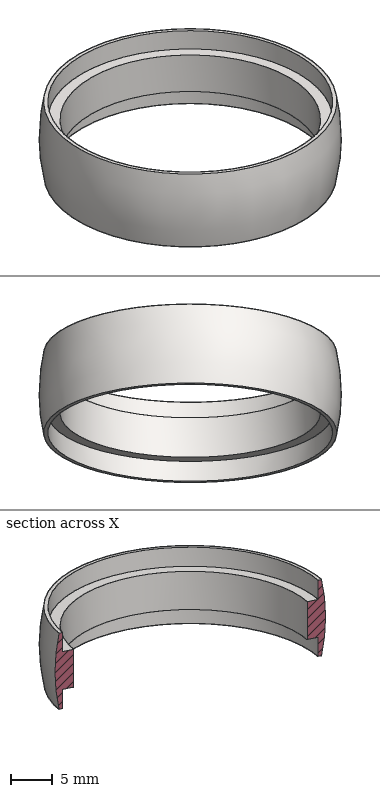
import cadquery as cq

height = 10.0
crown_diameter = 36.0
rim_wall = 0.5
bore_diameter = 31.0
seat_diameter = 33.9
seat_depth = 2.5

crown_radius = crown_diameter / 2
rim_radius = seat_diameter / 2 + rim_wall
half_height = height / 2


def crowned_disc():
    """Solid disc, centred on the origin, whose side bulges in one arc from rim to rim."""
    return (
        cq.Workplane("XZ")
        .moveTo(0, -half_height)
        .lineTo(rim_radius, -half_height)
        .threePointArc((crown_radius, 0), (rim_radius, half_height))
        .lineTo(0, half_height)
        .close()
        .revolve(360, (0, 0, 0), (0, 1, 0))
    )


def cylinder_cutter(diameter, bottom, length):
    """Cylinder on the Z axis rising from the given bottom height."""
    return cq.Workplane("XY").workplane(offset=bottom).circle(diameter / 2).extrude(length)


def cut_bore(body):
    """Cut the through bore, which leaves a shoulder between the two seats."""
    return body.cut(cylinder_cutter(bore_diameter, -half_height, height))


def cut_seats(body):
    """Cut the same wider, shallow seat into both ends of the ring."""
    for bottom in (-half_height, half_height - seat_depth):
        body = body.cut(cylinder_cutter(seat_diameter, bottom, seat_depth))
    return body


result = cut_seats(cut_bore(crowned_disc()))